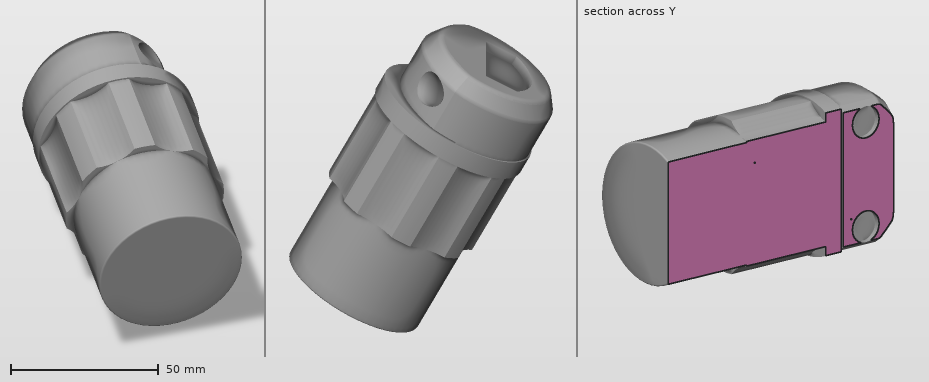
import cadquery as cq
import math

total_length = 96.06
flange_start = 22.2
flange_end = 29.0
grip_end = 62.7

flange_radius = 56.52 / 2
barrel_radius = 49.99 / 2
barrel_end_fillet = 0.6

grip_radius = 27.64
land_count = 8
land_angle = 15.0
scallop_floor_radius = barrel_radius

cap_radius = grip_radius
clamp_reach = 22.7
clamp_arc_radius = 32.4
clamp_arc_center_y = clamp_reach - clamp_arc_radius
bevel_length = 5.9
bevel_depth = 4.1
bevel_fillet = 2.0
face_fillet = 2.5
parting_y = 1.27
clamp_gap = 0.6

pocket_half_height = 15.1
pocket_arc_start_y = -10.5
pocket_arc_middle_y = -16.3
pocket_depth = 3.1
pocket_wall_taper = 11.0

recess_diameter = 11.1
recess_x = 11.9
recess_z = 18.7
recess_floor_y = 9.9


def cylinder_along_x(radius, start, end):
    return cq.Workplane("YZ").workplane(offset=start).circle(radius).extrude(end - start)


def bevelled_disc(radius, center_y):
    """Disc along X whose front rim is bevelled and rounded at both edges of the bevel."""
    disc = (
        cq.Workplane("XY")
        .moveTo(0, center_y)
        .lineTo(0, center_y + radius - bevel_depth)
        .lineTo(bevel_length, center_y + radius)
        .lineTo(flange_start, center_y + radius)
        .lineTo(flange_start, center_y)
        .close()
        .revolve(360, (0, center_y, 0), (1, center_y, 0))
    )
    disc = disc.faces("<X").edges().fillet(face_fillet)
    return disc.faces("%CONE").edges(">X").fillet(bevel_fillet)


def block_beside_parting(y_direction, end):
    """Block on one side of the parting plane, from ahead of the cap face to X = end."""
    block_length = end + flange_radius
    block = cq.Workplane("XY").box(block_length, flange_radius, 2 * flange_radius)
    return block.translate(
        (end - block_length / 2, parting_y + y_direction * flange_radius / 2, 0)
    )


def make_cap():
    envelope = bevelled_disc(cap_radius, 0).intersect(bevelled_disc(clamp_arc_radius, clamp_arc_center_y))
    fixed_half = envelope.intersect(block_beside_parting(-1, flange_start))
    clamp_half = envelope.intersect(block_beside_parting(1, flange_start - clamp_gap))
    return fixed_half.cut(make_pocket()).union(clamp_half)


def make_pocket():
    """Pocket with tapered side walls and an upright wall on the parting plane."""
    tapered = (
        cq.Workplane("YZ")
        .moveTo(pocket_half_height, -pocket_half_height)
        .lineTo(pocket_arc_start_y, -pocket_half_height)
        .threePointArc((pocket_arc_middle_y, 0), (pocket_arc_start_y, pocket_half_height))
        .lineTo(pocket_half_height, pocket_half_height)
        .close()
        .extrude(pocket_depth, taper=pocket_wall_taper)
    )
    return tapered.intersect(block_beside_parting(-1, flange_start))


def make_screw_recess(z):
    return (
        cq.Workplane("XZ", origin=(recess_x, recess_floor_y, z))
        .circle(recess_diameter / 2)
        .extrude(-cap_radius)
    )


def polar(radius, degrees):
    angle = math.radians(degrees)
    return (radius * math.cos(angle), radius * math.sin(angle))


def make_grip():
    pitch = 360 / land_count
    half_land = land_angle / 2
    outline = cq.Workplane("YZ").workplane(offset=flange_end).moveTo(*polar(grip_radius, -half_land))
    for index in range(land_count):
        middle = index * pitch
        outline = outline.threePointArc(
            polar(grip_radius, middle), polar(grip_radius, middle + half_land)
        ).threePointArc(
            polar(scallop_floor_radius, middle + pitch / 2),
            polar(grip_radius, middle + pitch - half_land),
        )
    return outline.close().extrude(grip_end - flange_end)


cap = make_cap()
for side in (-1, 1):
    cap = cap.cut(make_screw_recess(side * recess_z))

flange = cylinder_along_x(flange_radius, flange_start, flange_end)
barrel = cylinder_along_x(barrel_radius, flange_start, total_length)
barrel = barrel.faces(">X").edges().fillet(barrel_end_fillet)

result = cap.union(flange).union(barrel).union(make_grip())